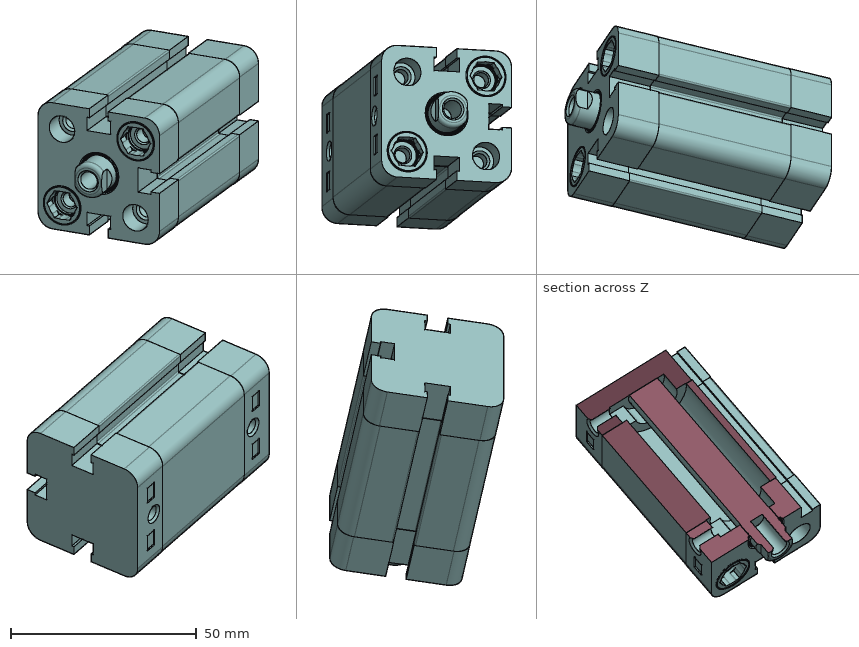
import cadquery as cq
import math


TOTAL_LENGTH = 68.6
ROD_PROJECTION = 6.6
BODY_LENGTH = TOTAL_LENGTH - ROD_PROJECTION
BODY_SIDE = 36.3
CAP_LENGTH = 11.8
TUBE_END = BODY_LENGTH - CAP_LENGTH
CAP_CORNER_RADIUS = 4.4
TUBE_CORNER_RADIUS = 4.6
TUBE_BORE = 20.0

SLOT_MOUTH = 5.6
SLOT_WIDTH = 7.0
SLOT_LIP = 2.6
CAP_SLOT_DEPTH = 6.4
TUBE_SLOT_DEPTH = 6.2
SLOT_ROUND = 0.4
SLOT_ANGLES = (0, 90, 180)

CORNER_OFFSET = 11
TAP_DIAMETER = 4.1
TAP_DEPTH = 4.1
MOUNT_BORE = 7.55
MOUNT_BORE_DEPTH = 6.2
COUNTERSINK = 5.4
SCREW_RING_OUTER = 11.1
SCREW_RING_INNER = 10.5
SOCKET_BORE = 8.0
SOCKET_ACROSS_FLATS = 7.75
SOCKET_HEX_DEPTH = 2.8
SOCKET_BORE_DEPTH = 3.7
SOCKET_FLOOR_BORE = 7.5
SOCKET_FLOOR_DEPTH = 4.65
SCREW_COUNTERSINK = 4.95

PORT_FROM_END = 7.6
PORT_DEPTH = 6.85
CHANNEL_HEIGHT = 3.35
CHAMBER_BORE = 13.85
FRONT_CHAMBER_PAST_PORT = 2.3
REAR_CHAMBER_PAST_PORT = 1.65
REAR_PORT_Y = BODY_LENGTH - PORT_FROM_END
REAR_CHAMBER_END = REAR_PORT_Y + REAR_CHAMBER_PAST_PORT

LABEL_FROM_END = 6.3
LABEL_OFFSET = 8.1
LABEL_WIDTH = 3.3
LABEL_HEIGHT = 5.1
LABEL_DEPTH = 0.4

ROD_DIAMETER = 10.0
ROD_TIP_ROUND = 1.27
ROD_ACROSS_FLATS = 8.0
ROD_FLAT_LENGTH = 3.35
ROD_TAP = 4.95
ROD_TAP_DEPTH = 11
ROD_COUNTERSINK = 6.05
RECESS_RIM = 12.0
RECESS_DIAMETER = 11.4
RECESS_DEPTH = 0.8
LIP_OUTER = 10.9
LIP_INNER = 10.5


def cylinder(diameter, start, depth, x=0, z=0):
    """Cylinder along +Y from y = start."""
    return cq.Workplane(cq.Solid.makeCylinder(diameter / 2, depth, cq.Vector(x, start, z), cq.Vector(0, 1, 0)))


def cone(start_diameter, end_diameter, start, x=0, z=0):
    """45 degree cone frustum along +Y from y = start."""
    depth = abs(start_diameter - end_diameter) / 2
    return cq.Workplane(cq.Solid.makeCone(
        start_diameter / 2, end_diameter / 2, depth, cq.Vector(x, start, z), cq.Vector(0, 1, 0)))


def block(start, length, corner_radius):
    """Square block along +Y with rounded long edges, from y = start."""
    return (
        cq.Workplane("XZ", origin=(0, start, 0))
        .rect(BODY_SIDE, BODY_SIDE)
        .extrude(-length)
        .edges("|Y")
        .fillet(corner_radius)
    )


def slot(start, length, depth):
    """Mouth and channel of the T-slot of the top side."""
    top = BODY_SIDE / 2
    lip_bottom = top - SLOT_LIP
    floor = top - depth
    mouth = (
        cq.Workplane("XZ", origin=(0, start, 0))
        .rect(SLOT_MOUTH, 2 * SLOT_LIP)
        .extrude(-length)
        .translate((0, 0, top))
    )
    channel = (
        cq.Workplane("XZ", origin=(0, start, (lip_bottom + floor) / 2))
        .rect(SLOT_WIDTH, lip_bottom - floor)
        .extrude(-length)
    )
    return mouth, channel


def lip_rounding(start, length, side):
    """Material removed where one lip of the tube slot is rounded; side is -1 or +1."""
    top = BODY_SIDE / 2
    edge = side * SLOT_MOUTH / 2
    outer = edge + side * SLOT_ROUND
    low = top - SLOT_ROUND
    middle = SLOT_ROUND * (1 - math.cos(math.pi / 4))
    return (
        cq.Workplane("XZ", origin=(0, start, 0))
        .moveTo(edge, top)
        .lineTo(outer, top)
        .threePointArc((edge + side * middle, top - middle), (edge, low))
        .close()
        .extrude(-length)
    )


def cut_cap_slots(cap, start):
    for angle in SLOT_ANGLES:
        for piece in slot(start, CAP_LENGTH, CAP_SLOT_DEPTH):
            cap = cap.cut(piece.rotate((0, 0, 0), (0, 1, 0), angle))
    return cap


def countersunk_tap(start, countersink, x, z):
    """Blind threaded hole with a countersink at its mouth."""
    return cylinder(TAP_DIAMETER, start, TAP_DEPTH, x, z).union(cone(countersink, TAP_DIAMETER, start, x, z))


def mounting_hole(x, z):
    """Plain bore with a threaded hole in its floor."""
    return cylinder(MOUNT_BORE, 0, MOUNT_BORE_DEPTH, x, z).union(
        countersunk_tap(MOUNT_BORE_DEPTH, COUNTERSINK, x, z))


def screw_socket(x, z):
    """Hexagon socket, its stepped round bore with a threaded hole, and the groove around the screw head."""
    hexagon = (
        cq.Workplane("XZ", origin=(x, 0, z))
        .polygon(6, SOCKET_ACROSS_FLATS / math.cos(math.pi / 6))
        .extrude(-SOCKET_HEX_DEPTH)
    )
    ring_depth = (SCREW_RING_OUTER - SCREW_RING_INNER) / 2
    ring = cylinder(SCREW_RING_OUTER, 0, ring_depth, x, z).cut(cone(SCREW_RING_INNER, SCREW_RING_OUTER, 0, x, z))
    return (
        cylinder(SOCKET_BORE, 0, SOCKET_BORE_DEPTH, x, z)
        .union(hexagon)
        .union(cylinder(SOCKET_FLOOR_BORE, 0, SOCKET_FLOOR_DEPTH, x, z))
        .union(countersunk_tap(SOCKET_FLOOR_DEPTH, SCREW_COUNTERSINK, x, z))
        .union(ring)
    )


def cut_corner_features(cap):
    """Sockets at two opposite corners of the front cap, mounting holes at the other two."""
    for side in (-1, 1):
        place = side * CORNER_OFFSET
        cap = cap.cut(screw_socket(place, place)).cut(mounting_hole(place, -place))
    return cap


def air_port(y, channel_from, channel_to):
    """Countersunk port on the -X side, with a flat channel from its floor to the chamber."""
    side = BODY_SIDE / 2
    hole = cylinder(TAP_DIAMETER, 0, PORT_DEPTH).union(cone(COUNTERSINK, TAP_DIAMETER, 0))
    hole = hole.rotate((0, 0, 0), (0, 0, 1), -90).translate((-side, y, 0))
    channel = cq.Workplane().box(
        side - PORT_DEPTH, channel_to - channel_from, CHANNEL_HEIGHT, centered=(False, False, True)
    ).translate((PORT_DEPTH - side, channel_from, 0))
    return hole.union(channel)


def label_pockets(y):
    """Two shallow rectangular pockets on the -X side."""
    return (
        cq.Workplane("YZ", origin=(-BODY_SIDE / 2, y, 0))
        .pushPoints([(0, -LABEL_OFFSET), (0, LABEL_OFFSET)])
        .rect(LABEL_WIDTH, LABEL_HEIGHT)
        .extrude(LABEL_DEPTH)
    )


def seal_recess():
    """Recess around the rod: chamfered rim, and the seal lip standing inside it."""
    rim = cone(RECESS_RIM, RECESS_DIAMETER, 0)
    recess = cylinder(RECESS_DIAMETER, 0, RECESS_DEPTH)
    lip = cylinder(LIP_OUTER, 0, RECESS_DEPTH).cut(cylinder(LIP_INNER, 0, RECESS_DEPTH))
    return rim.union(recess).cut(lip)


def make_front_cap():
    cap = cut_cap_slots(block(0, CAP_LENGTH, CAP_CORNER_RADIUS), 0)
    chamber_start = PORT_FROM_END - FRONT_CHAMBER_PAST_PORT
    chamber = cylinder(CHAMBER_BORE, chamber_start, CAP_LENGTH - chamber_start)
    cap = cap.cut(cylinder(ROD_DIAMETER, 0, CAP_LENGTH)).cut(chamber).cut(seal_recess())
    cap = cap.cut(air_port(PORT_FROM_END, chamber_start, CAP_LENGTH))
    cap = cap.cut(label_pockets(LABEL_FROM_END))
    return cut_corner_features(cap)


def make_tube():
    length = TUBE_END - CAP_LENGTH
    tube = block(CAP_LENGTH, length, TUBE_CORNER_RADIUS).cut(cylinder(TUBE_BORE, CAP_LENGTH, length))
    mouth, channel = slot(CAP_LENGTH, length, TUBE_SLOT_DEPTH)
    channel = channel.edges("|Y and <Z").fillet(SLOT_ROUND)
    pieces = [mouth, channel]
    for side in (-1, 1):
        pieces.append(lip_rounding(CAP_LENGTH, length, side))
    for angle in SLOT_ANGLES:
        for piece in pieces:
            tube = tube.cut(piece.rotate((0, 0, 0), (0, 1, 0), angle))
    return tube


def make_rear_cap():
    cap = cut_cap_slots(block(TUBE_END, CAP_LENGTH, CAP_CORNER_RADIUS), TUBE_END)
    cap = cap.cut(cylinder(CHAMBER_BORE, TUBE_END, REAR_CHAMBER_END - TUBE_END))
    cap = cap.cut(air_port(REAR_PORT_Y, TUBE_END, REAR_CHAMBER_END))
    return cap.cut(label_pockets(BODY_LENGTH - LABEL_FROM_END))


def make_rod():
    tip = -ROD_PROJECTION
    rod = cylinder(ROD_DIAMETER, tip, REAR_CHAMBER_END - tip).faces("<Y").edges().fillet(ROD_TIP_ROUND)
    radius = ROD_DIAMETER / 2
    flat = ROD_ACROSS_FLATS / 2
    flat_end = tip + ROD_FLAT_LENGTH
    for side in (-1, 1):
        cutter = (
            cq.Workplane("XY")
            .moveTo(side * flat, tip)
            .lineTo(side * radius, tip)
            .lineTo(side * radius, flat_end + radius - flat)
            .lineTo(side * flat, flat_end)
            .close()
            .extrude(radius, both=True)
        )
        rod = rod.cut(cutter)
    return rod.cut(cylinder(ROD_TAP, tip, ROD_TAP_DEPTH)).cut(cone(ROD_COUNTERSINK, ROD_TAP, tip))


front_cap = make_front_cap()
tube = make_tube()
rear_cap = make_rear_cap()
rod = make_rod()

result = cq.Compound.makeCompound([front_cap.val(), tube.val(), rear_cap.val(), rod.val()])